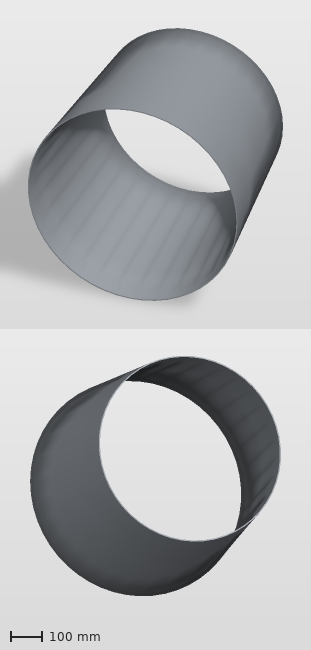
import cadquery as cq

length = 610.0
large_diameter = 708.0
small_diameter = 608.0
wall = 4.0

large_radius = large_diameter / 2
small_radius = small_diameter / 2

wall_section = [
    (large_radius - wall, -length / 2),
    (large_radius, -length / 2),
    (small_radius, length / 2),
    (small_radius - wall, length / 2),
]

result = (
    cq.Workplane("XY")
    .polyline(wall_section)
    .close()
    .revolve(360, (0, 0, 0), (0, 1, 0))
)